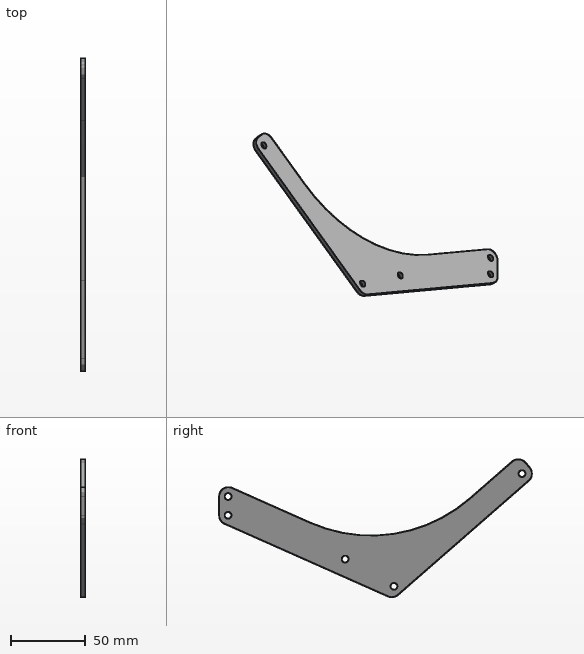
import cadquery as cq

length = 210.0
height = 92.7
thickness = 3.2

corner_radius = 6.3
valley_radius = 100.8
hole_diameter = 4.5

front_hole_y = 6.0
front_hole_low_z = 55.0
front_hole_spacing = 12.6
rear_hole = (203.4, 83.0)
elbow_hole = (117.5, 7.4)
middle_hole = (84.7, 25.6)

elbow = (116.0, corner_radius)
front_low = (corner_radius, front_hole_low_z)
front_high = (corner_radius, front_hole_low_z + front_hole_spacing)
rear_low = (length - corner_radius, rear_hole[1])

front_slope = (front_low[1] - elbow[1]) / (front_low[0] - elbow[0])
rear_slope = (rear_low[1] - elbow[1]) / (rear_low[0] - elbow[0])

rear_high_z = height - corner_radius
rear_high_y = rear_low[0] - (rear_high_z - rear_low[1]) * rear_slope
rear_high = (rear_high_y, rear_high_z)

valley_y = (
    rear_high[1] - front_high[1] + front_slope * front_high[0] - rear_slope * rear_high[0]
) / (front_slope - rear_slope)
valley = (valley_y, front_high[1] + front_slope * (valley_y - front_high[0]))


def make_plate():
    """Grow the corner-centre polygon by the corner radius, then round the inner bend."""
    corners = [elbow, front_low, front_high, valley, rear_high, rear_low]
    plate = (
        cq.Workplane("YZ")
        .polyline(corners)
        .close()
        .offset2D(corner_radius)
        .extrude(thickness)
    )
    bend = (0, *valley)
    return plate.edges("|X").edges(cq.selectors.NearestToPointSelector(bend)).fillet(valley_radius)


def make_holes():
    front_holes = [
        (front_hole_y, front_hole_low_z + row * front_hole_spacing) for row in range(2)
    ]
    centres = front_holes + [rear_hole, elbow_hole, middle_hole]
    return cq.Workplane("YZ").pushPoints(centres).circle(hole_diameter / 2).extrude(thickness)


result = make_plate().cut(make_holes())